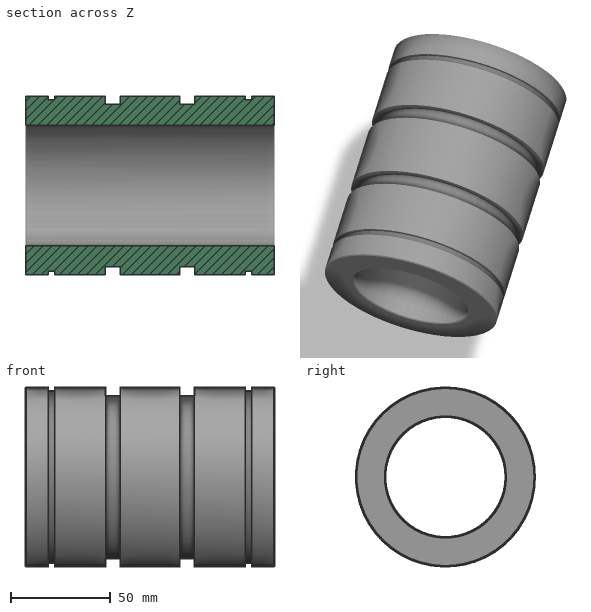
import cadquery as cq

length = 125.0
outer_diameter = 90.0
bore_diameter = 60.0
edge_chamfer = 0.5

ring_groove_diameter = 86.4
ring_groove_width = 3.1
ring_groove_offset = 49.4

wide_groove_diameter = 81.8
wide_groove_width = 7.2
wide_groove_offset = 18.6


def cylinder(diameter, width, centre_x):
    """Solid cylinder along X, centred at centre_x."""
    return (
        cq.Workplane("YZ", origin=(centre_x - width / 2, 0, 0))
        .circle(diameter / 2)
        .extrude(width)
    )


def groove_cutter(floor_diameter, width, centre_x):
    """Ring of material to remove, down to the groove floor."""
    clearance = 2.5
    blank = cylinder(outer_diameter + clearance, width, centre_x)
    return blank.cut(cylinder(floor_diameter, width, centre_x))


sleeve = cylinder(outer_diameter, length, 0).cut(cylinder(bore_diameter, length, 0))
sleeve = sleeve.faces("<X or >X").edges().chamfer(edge_chamfer)

for side in (-1, 1):
    sleeve = sleeve.cut(
        groove_cutter(ring_groove_diameter, ring_groove_width, side * ring_groove_offset)
    )
    sleeve = sleeve.cut(
        groove_cutter(wide_groove_diameter, wide_groove_width, side * wide_groove_offset)
    )

result = sleeve